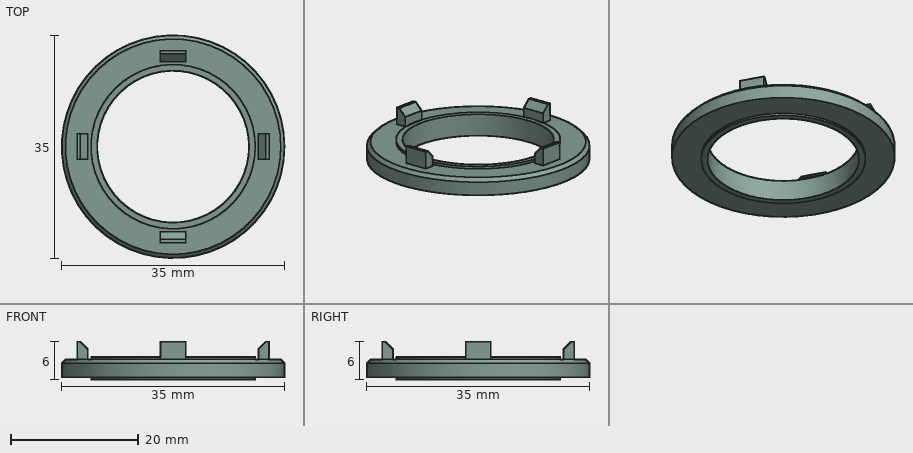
import cadquery as cq

flange_diameter = 35.0
flange_thickness = 2.8
flange_chamfer = 0.6
rim_diameter = 25.8
rim_height = 0.4
bore_diameter = 23.8

tab_count = 4
tab_width = 4.0
tab_thickness = 1.7
tab_outer_distance = 15.1
tab_bevel = 1.2
overall_height = 6.0

flange_bottom = rim_height
flange_top = flange_bottom + flange_thickness
ring_height = flange_thickness + 2 * rim_height
tab_height = overall_height - flange_top
tab_inner_distance = tab_outer_distance - tab_thickness


def make_ring():
    """Chamfered flange and its two rims, with one bore through everything."""
    flange = (
        cq.Workplane("XY", origin=(0, 0, flange_bottom))
        .circle(flange_diameter / 2)
        .extrude(flange_thickness)
        .faces(">Z")
        .chamfer(flange_chamfer)
    )
    rims = cq.Workplane("XY").circle(rim_diameter / 2).extrude(ring_height)
    bore = cq.Workplane("XY").circle(bore_diameter / 2).extrude(ring_height)
    return flange.union(rims).cut(bore)


def make_tab(angle):
    """One tab on the flange, turned about the ring axis from the +X side."""
    tab = (
        cq.Workplane("XZ", origin=(0, 0, flange_top))
        .moveTo(tab_inner_distance, 0)
        .lineTo(tab_outer_distance, 0)
        .lineTo(tab_outer_distance, tab_height)
        .lineTo(tab_inner_distance + tab_bevel, tab_height)
        .lineTo(tab_inner_distance, tab_height - tab_bevel)
        .close()
        .extrude(tab_width / 2, both=True)
    )
    return tab.rotate((0, 0, 0), (0, 0, 1), angle)


ring = make_ring()
tabs = [make_tab(index * 360 / tab_count) for index in range(tab_count)]

result = cq.Compound.makeCompound([ring.val(), *[tab.val() for tab in tabs]])